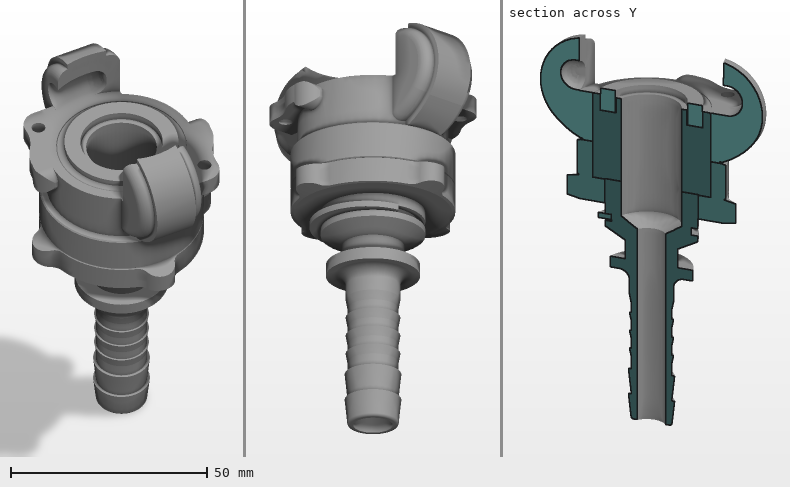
import cadquery as cq
import math


HEAD_TOP = 88.6
HEAD_BASE = 74.9
NUT_STEP = 65.2
NUT_BASE = 58.5

INSERT_R = 16.6
COLLAR_R = 13.3
BORE_R = 9.0
GROOVE_R = 11.52

HEAD_R = 19.2
FOOT_R = 20.3
FOOT_H = 0.4

CLAW_TOP = 103.4
CLAW_R = 13.4
CLAW_X = 17.5
CLAW_Z = CLAW_TOP - CLAW_R
CLAW_BAND_W = 11.1
CLAW_W = 17.7
SHOULDER_R = 11.8
SHOULDER_FILLET = 2.4
CLAW_TANGENT = math.radians(-41)
UNDERSIDE_R = 21.9
CLAW_ROOT_X = 14.5
CLAW_MOUTH_R = 20.2

RECESS_TOP = 96.7
RECESS_R = (RECESS_TOP - HEAD_TOP) / 2
RECESS_REACH = 25.4
RECESS_WALL_Y = 5.6
RECESS_END_FILLET = 3.1

LUG_T = 4.7
LUG_SIDE_X = 21.1
LUG_CORNER_R = 4.7
LUG_CORNER_Y = 19.0
LUG_BEND = (9.8, 21.2)
LUG_CREST = (3.9, 23.4)
LUG_NOSE = (0.0, 22.8)
LUG_END = (-2.0, 20.0)
LUG_HOLE_D = 3.5
LUG_HOLE_XY = 15.7
CAM_R = 3.3
CAM_X = 1.2

NUT_R = 21.0
NUT_CHAMFER = 0.3
LOBE_TIP_R = 25.0
LOBE_R = 4.1
LOBE_COUNT = 4
LOBE_FILLET = 3.1
BAND_END_R = 20.2
LOBE_BEVEL = 0.9

INSERT_CHAMFER = 0.26
HUB_R = 10.3
HUB_TOP = 88.3
SEAL_OUTER_R = 14.52
SEAL_INNER_R = 10.49
SEAL_BASE = 84.1
SEAL_TOP = 90.2

RING_BASE = 54.2
RING_TOP = 55.7
RING_R = 14.7
RING_OFFSET = (0.8, 1.2)
RING_GAP = [(5.1, -10.3), (8.2, -14.1), (-15.5, -15.5), (-15.8, 5.1), (-11.4, 2.0)]

GROOVE_BASE = 53.8
CONE_TOP = 52.2
CONE_BASE = 49.2
NECK_R = 8.01
STOP_R = 12.0
STOP_TOP = 44.1
STOP_BASE = 41.0
STOP_FILLET = 2.6
STEM_R = 6.5
BARB_R = 6.98
BARB_TOP = 34.5
BARB_PITCH = 5.0
BARB_L = 2.5
BARB_COUNT = 4
END_BARB_R = 7.2
END_BARB_TOP = 14.0
END_BARB_COUNT = 2
END_BARB_L = END_BARB_TOP / END_BARB_COUNT
TIP_ROUND = 0.7
HOSE_BORE_R = 5.01
FUNNEL_TOP = 55.8
FUNNEL_BASE = 52.9


def ring(outer_r, inner_r, bottom, top):
    return cq.Workplane().workplane(offset=bottom).circle(outer_r).circle(inner_r).extrude(top - bottom)


def cylinder(radius, bottom, top):
    return cq.Workplane().workplane(offset=bottom).circle(radius).extrude(top - bottom)


def turned(points):
    """Solid of revolution about Z from closed (radius, height) points."""
    return cq.Workplane("XZ").polyline(points).close().revolve(360, (0, 0, 0), (0, 1, 0))


def half_turn(body):
    return body.rotate((0, 0, 0), (0, 0, 1), 180)


def claw_slab(inset, width):
    """Claw outline, set in from the band by the inset and extruded symmetrically about Y = 0."""
    radius = CLAW_R - inset
    under_r = UNDERSIDE_R - inset
    under_x = CLAW_X - (under_r - radius) * math.cos(CLAW_TANGENT)
    under_z = CLAW_Z - (under_r - radius) * math.sin(CLAW_TANGENT)
    end_angle = -math.acos((CLAW_ROOT_X - under_x) / under_r)
    mid_angle = (CLAW_TANGENT + end_angle) / 2

    def under_point(angle):
        return (under_x + under_r * math.cos(angle), under_z + under_r * math.sin(angle))

    return (
        cq.Workplane("XZ")
        .moveTo(CLAW_ROOT_X, CLAW_Z + radius)
        .lineTo(CLAW_X, CLAW_Z + radius)
        .threePointArc((CLAW_X + radius, CLAW_Z), under_point(CLAW_TANGENT))
        .threePointArc(under_point(mid_angle), under_point(end_angle))
        .close()
        .extrude(width / 2, both=True)
    )


def make_claw():
    rim = cq.selectors.BoxSelector(
        (CLAW_ROOT_X + 1, -CLAW_W, HEAD_BASE - 1), (CLAW_X + CLAW_R, CLAW_W, CLAW_TOP)
    )
    shoulder = claw_slab(CLAW_R - SHOULDER_R, CLAW_W)
    shoulder = shoulder.faces("<Y or >Y").edges(rim).fillet(SHOULDER_FILLET)
    claw = shoulder.union(claw_slab(0, CLAW_BAND_W))
    claw = claw.cut(cylinder(CLAW_MOUTH_R, HEAD_TOP, CLAW_TOP + 1))
    return claw.cut(cylinder(CLAW_X + CLAW_R, 0, HEAD_BASE + FOOT_H))


def make_recess():
    """Round-bottomed groove about Z, closed by a rounded end on the -Y side of the claw."""
    centre_r = RECESS_REACH - RECESS_R
    groove = (
        cq.Workplane("XZ")
        .moveTo(0, HEAD_TOP)
        .lineTo(centre_r, HEAD_TOP)
        .threePointArc((RECESS_REACH, HEAD_TOP + RECESS_R), (centre_r, RECESS_TOP))
        .lineTo(0, RECESS_TOP)
        .close()
        .revolve(360, (0, 0, 0), (0, 1, 0))
    )
    open_side = cq.Workplane().box(
        RECESS_REACH, RECESS_REACH + RECESS_WALL_Y, CLAW_TOP, centered=False
    ).translate((0, -RECESS_WALL_Y, 0))
    return groove.intersect(open_side).faces("<Y").edges().fillet(RECESS_END_FILLET)


def make_lug():
    """Lug on the +X +Y side, ending in a cam that hangs below it."""
    corner_x = LUG_SIDE_X - LUG_CORNER_R
    cam_z = HEAD_TOP - CAM_R
    lug_y = CLAW_W / 2
    plan = (
        cq.Workplane()
        .moveTo(0, lug_y)
        .lineTo(LUG_SIDE_X, lug_y)
        .lineTo(LUG_SIDE_X, LUG_CORNER_Y - LUG_CORNER_R)
        .tangentArcPoint((corner_x, LUG_CORNER_Y), relative=False)
        .tangentArcPoint(LUG_BEND, relative=False)
        .tangentArcPoint(LUG_CREST, relative=False)
        .threePointArc(LUG_NOSE, LUG_END)
        .lineTo(LUG_END[0], HEAD_R - 1)
        .close()
        .extrude(HEAD_TOP)
    )
    plate = cq.Workplane().box(LUG_SIDE_X, LOBE_TIP_R, LUG_T, centered=False)
    plate = plate.translate((CAM_X, 0, HEAD_TOP - LUG_T))
    cam = cq.Workplane("XZ").center(CAM_X, cam_z).circle(CAM_R).extrude(-LOBE_TIP_R)
    hole = cylinder(LUG_HOLE_D / 2, 0, HEAD_TOP).translate((LUG_HOLE_XY, LUG_HOLE_XY, 0))
    return plan.intersect(plate.union(cam)).cut(hole)


def make_housing():
    head = turned([
        (0, HEAD_BASE),
        (FOOT_R, HEAD_BASE),
        (HEAD_R, HEAD_BASE + FOOT_H),
        (HEAD_R, HEAD_TOP),
        (0, HEAD_TOP),
    ])
    side = make_claw().union(make_lug()).cut(make_recess())
    head = head.union(side).union(half_turn(side))
    return head.cut(cylinder(INSERT_R, HEAD_BASE, HEAD_TOP))


def make_nut():
    lobed = cylinder(NUT_R, NUT_BASE, NUT_STEP)
    for i in range(LOBE_COUNT):
        lobe = cylinder(LOBE_R, NUT_BASE, NUT_STEP).translate((LOBE_TIP_R - LOBE_R, 0, 0))
        lobed = lobed.union(lobe.rotate((0, 0, 0), (0, 0, 1), i * 360 / LOBE_COUNT))
    lobed = lobed.edges("|Z").fillet(LOBE_FILLET)
    bevel = turned([
        (0, NUT_BASE),
        (BAND_END_R, NUT_BASE),
        (LOBE_TIP_R, NUT_BASE + LOBE_BEVEL),
        (LOBE_TIP_R, NUT_STEP - LOBE_BEVEL),
        (BAND_END_R, NUT_STEP),
        (0, NUT_STEP),
    ])
    sleeve = cylinder(NUT_R, NUT_STEP, HEAD_BASE).faces("<Z or >Z").edges().chamfer(NUT_CHAMFER)
    nut = lobed.intersect(bevel).union(sleeve)
    return nut.cut(cylinder(COLLAR_R, NUT_BASE, NUT_STEP)).cut(cylinder(INSERT_R, NUT_STEP, HEAD_BASE))


def make_insert():
    body = cylinder(INSERT_R, NUT_STEP, HEAD_TOP).faces(">Z").edges().chamfer(INSERT_CHAMFER)
    body = body.cut(ring(SEAL_OUTER_R, HUB_R, SEAL_BASE, HEAD_TOP))
    body = body.cut(cylinder(HUB_R, HUB_TOP, HEAD_TOP))
    return body.cut(cylinder(BORE_R, NUT_STEP, HEAD_TOP))


def make_seal():
    return ring(SEAL_OUTER_R, SEAL_INNER_R, SEAL_BASE, SEAL_TOP)


def make_snap_ring():
    rim = cylinder(RING_R, RING_BASE, RING_TOP).translate((*RING_OFFSET, 0))
    gap = cq.Workplane().polyline(RING_GAP).close().extrude(RING_TOP)
    return rim.cut(cylinder(GROOVE_R, RING_BASE, RING_TOP)).cut(gap)


def stem_profile():
    """Outer (radius, height) points of the stem from its top down to its tip."""
    points = [
        (0, NUT_STEP),
        (COLLAR_R, NUT_STEP),
        (COLLAR_R, RING_TOP),
        (GROOVE_R, RING_TOP),
        (GROOVE_R, GROOVE_BASE),
        (COLLAR_R, GROOVE_BASE),
        (COLLAR_R, CONE_TOP),
        (NECK_R, CONE_BASE),
        (NECK_R, STOP_TOP),
        (STOP_R, STOP_TOP),
        (STOP_R, STOP_BASE),
        (BARB_R, STOP_BASE),
    ]
    for i in range(BARB_COUNT):
        top = BARB_TOP - i * BARB_PITCH
        if i > 0:
            points.append((STEM_R, top))
        points += [(BARB_R, top), (STEM_R, top - BARB_L)]
    points.append((STEM_R, END_BARB_TOP))
    for i in range(END_BARB_COUNT):
        top = END_BARB_TOP - i * END_BARB_L
        points += [(END_BARB_R, top), (STEM_R, top - END_BARB_L)]
    return points + [(0, 0)]


def make_stem():
    stem = turned(stem_profile())
    stem = stem.faces("<Z").edges().fillet(TIP_ROUND)
    root = cq.selectors.BoxSelector(
        (-STOP_R, -STOP_R, STOP_BASE - 0.1), (STOP_R, STOP_R, STOP_BASE + 0.1)
    )
    root_edges = stem.edges(root).edges(cq.selectors.RadiusNthSelector(0))
    stem = root_edges.fillet(STOP_FILLET)
    bore = turned([
        (0, 0),
        (HOSE_BORE_R, 0),
        (HOSE_BORE_R, FUNNEL_BASE),
        (BORE_R, FUNNEL_TOP),
        (BORE_R, NUT_STEP),
        (0, NUT_STEP),
    ])
    return stem.cut(bore)


housing = make_housing()
nut = make_nut()
insert = make_insert()
seal = make_seal()
snap_ring = make_snap_ring()
stem = make_stem()

result = cq.Compound.makeCompound(
    [housing.val(), nut.val(), insert.val(), seal.val(), snap_ring.val(), stem.val()]
)